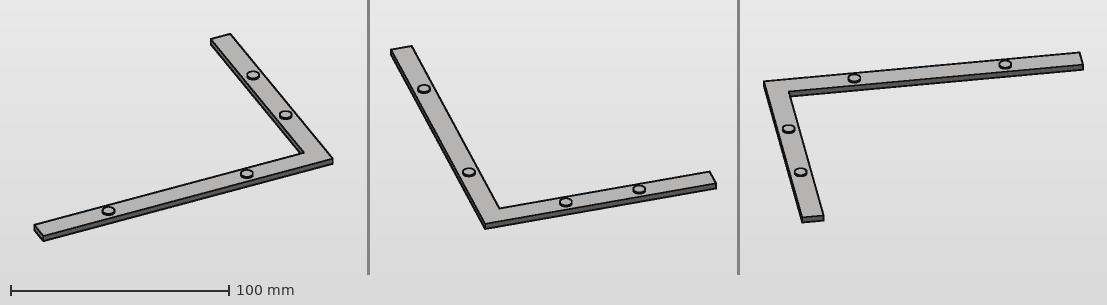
import cadquery as cq

length_x = 110.8
length_y = 146.5
total_height = 3.7

arm_width = 10.0
plate_thickness = 3.0

pad_diameter = 5.5
pad_height = total_height - plate_thickness
first_pad_from_end = 35.3
pad_spacing_x = 35.2
pad_spacing_y = 70.0


def make_plate():
    """L-shaped plate with its free ends at -X and -Y."""
    inner_x = length_x - arm_width
    inner_y = length_y - arm_width
    outline = [
        (0, length_y),
        (length_x, length_y),
        (length_x, 0),
        (inner_x, 0),
        (inner_x, inner_y),
        (0, inner_y),
    ]
    return cq.Workplane("XY").polyline(outline).close().extrude(plate_thickness)


def add_pads(plate):
    """Two pads on the centre line of each arm."""
    center_x = length_x - arm_width / 2
    center_y = length_y - arm_width / 2
    pad_centers = []
    for index in range(2):
        pad_centers.append((first_pad_from_end + index * pad_spacing_x, center_y))
        pad_centers.append((center_x, first_pad_from_end + index * pad_spacing_y))
    pads = (
        cq.Workplane("XY")
        .workplane(offset=plate_thickness)
        .pushPoints(pad_centers)
        .circle(pad_diameter / 2)
        .extrude(pad_height)
    )
    return plate.union(pads)


result = add_pads(make_plate())